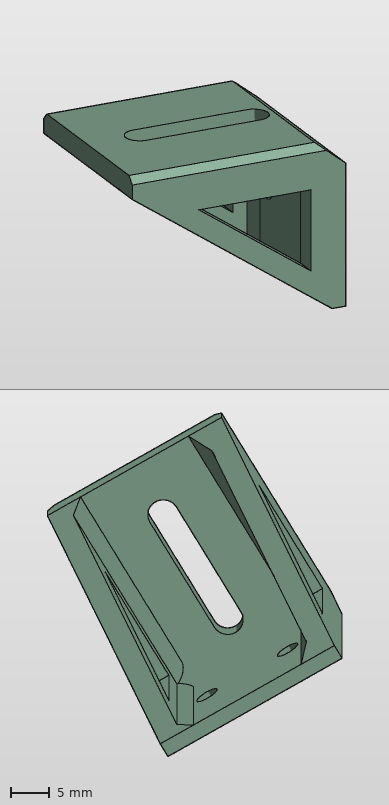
import cadquery as cq

width = 26.0
depth = 30.58
height = 23.0
back_y = depth / 2
front_y = -depth / 2

plate_thickness = 3.0
back_thickness = 2.0
side_thickness = 3.05
back_bevel_depth = 4.05
back_bevel_drop = 3.25
top_chamfer = 0.98

inner_fillet = 3.0
corner_width = 1.9
left_corner_depth = 0.98
right_corner_depth = 1.9

window_back_offset = 4.98
window_top_drop = 6.05
window_length = 16.05
slot_width = 3.98
slot_length = 20.3
slot_center_x = -0.1
slot_back_offset = 4.8
hole_diameter = 3.0
hole_spacing = 12.02
hole_height = 10.0

wall_front_y = back_y - back_thickness
ceiling_z = height - plate_thickness
brace_slope = ceiling_z / (depth - back_thickness)
overshoot = 3.05


def make_body():
    """Side profile across the full width, with its long top edges chamfered."""
    profile = [
        (back_y, 0),
        (wall_front_y, 0),
        (front_y, ceiling_z),
        (front_y, height),
        (back_y - back_bevel_depth, height),
        (back_y, height - back_bevel_drop),
    ]
    body = cq.Workplane("YZ").polyline(profile).close().extrude(width / 2, both=True)
    end_profile = [
        (-width / 2, 0),
        (width / 2, 0),
        (width / 2, height - top_chamfer),
        (width / 2 - top_chamfer, height),
        (-width / 2 + top_chamfer, height),
        (-width / 2, height - top_chamfer),
    ]
    envelope = cq.Workplane("XZ").polyline(end_profile).close().extrude(depth, both=True)
    return body.intersect(envelope)


def beveled_section(plane, near, far):
    """Pocket section between the side walls, with its corners at the far edge beveled."""
    half = width / 2 - side_thickness
    points = [
        (-half, near),
        (half, near),
        (half, far - right_corner_depth),
        (half - corner_width, far),
        (-half + corner_width, far),
        (-half, far - left_corner_depth),
    ]
    return cq.Workplane(plane).polyline(points).close().extrude(2 * depth, both=True)


def make_pocket():
    """Space under the plate, rounded where the plate meets the back wall."""
    pocket = (
        cq.Workplane("YZ")
        .moveTo(front_y - overshoot, -overshoot)
        .lineTo(wall_front_y, -overshoot)
        .lineTo(wall_front_y, ceiling_z - inner_fillet)
        .radiusArc((wall_front_y - inner_fillet, ceiling_z), -inner_fillet)
        .lineTo(front_y - overshoot, ceiling_z)
        .close()
        .extrude(width / 2, both=True)
    )
    wall_corners = beveled_section("XY", front_y - overshoot, wall_front_y)
    ceiling_corners = beveled_section("XZ", -overshoot, ceiling_z)
    return pocket.intersect(wall_corners).intersect(ceiling_corners)


def make_windows():
    """Triangular opening through both sides, parallel to the sloping edge."""
    corner_y = back_y - window_back_offset
    top_z = height - window_top_drop
    points = [
        (corner_y, top_z),
        (corner_y - window_length, top_z),
        (corner_y, top_z - window_length * brace_slope),
    ]
    return cq.Workplane("YZ").polyline(points).close().extrude(width, both=True)


def make_slot():
    """Round-ended slot through the top plate."""
    center_y = back_y - slot_back_offset - slot_length / 2
    return (
        cq.Workplane("XY", origin=(slot_center_x, center_y, ceiling_z - inner_fillet))
        .slot2D(slot_length, slot_width, 90)
        .extrude(height)
    )


def make_holes():
    """Pair of mounting holes through the back wall."""
    centers = [(side * hole_spacing / 2, hole_height) for side in (-1, 1)]
    return (
        cq.Workplane("XZ", origin=(0, back_y + overshoot, 0))
        .pushPoints(centers)
        .circle(hole_diameter / 2)
        .extrude(back_thickness + 2 * overshoot)
    )


result = make_body()
for cutter in (make_pocket(), make_windows(), make_slot(), make_holes()):
    result = result.cut(cutter)